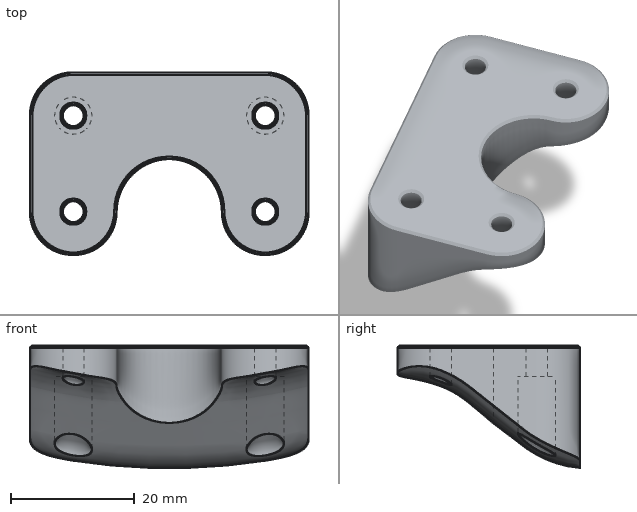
import cadquery as cq
import math

HOLE_SPACING_X = 31.0
HOLE_SPACING_Y = 15.5
CORNER_RADIUS = 7.0
HOLE_DIAMETER = 3.4
HEAD_BORE_DIAMETER = 6.0
HEAD_SEAT_DEPTH = 5.0
EDGE_CHAMFER = 0.4

REAR_DEPTH = 19.8
BLEND_RADIUS = 17.5
SLOPE_ANGLE = math.radians(37.5)
FLANK_REAR_INSET = 9.1
FLANK_RUN = 8.8
SADDLE_RADIUS = 100.0
BLANK_ALLOWANCE = 1.0

HOLE_X = HOLE_SPACING_X / 2
HOLE_Y = HOLE_SPACING_Y / 2
REAR_Y = HOLE_Y + CORNER_RADIUS
FRONT_Y = -REAR_Y
SIDE_X = HOLE_X + CORNER_RADIUS
NOTCH_RADIUS = HOLE_X - CORNER_RADIUS
BLANK_DEPTH = REAR_DEPTH + BLANK_ALLOWANCE


def blank():
    """Upright prism with rounded corners, two rounded legs and a round notch between them."""
    corner_mid = CORNER_RADIUS * math.sqrt(0.5)
    return (
        cq.Workplane("XY")
        .moveTo(-NOTCH_RADIUS, -HOLE_Y)
        .threePointArc((0, NOTCH_RADIUS - HOLE_Y), (NOTCH_RADIUS, -HOLE_Y))
        .threePointArc((HOLE_X, FRONT_Y), (SIDE_X, -HOLE_Y))
        .lineTo(SIDE_X, HOLE_Y)
        .threePointArc((HOLE_X + corner_mid, HOLE_Y + corner_mid), (HOLE_X, REAR_Y))
        .lineTo(-HOLE_X, REAR_Y)
        .threePointArc((-HOLE_X - corner_mid, HOLE_Y + corner_mid), (-SIDE_X, HOLE_Y))
        .lineTo(-SIDE_X, -HOLE_Y)
        .threePointArc((-HOLE_X, FRONT_Y), (-NOTCH_RADIUS, -HOLE_Y))
        .close()
        .extrude(-BLANK_DEPTH)
        .faces(">Z")
        .chamfer(EDGE_CHAMFER)
    )


def arc_point(center, y, side):
    """Point at the given Y on a blend arc; side is -1 below its centre, +1 above it."""
    rise = math.sqrt(BLEND_RADIUS**2 - (y - center[0]) ** 2)
    return (y, center[1] + side * rise)


def saddle_body():
    """Solid of revolution whose outer face is the curved underside."""
    normal_y = BLEND_RADIUS * math.sin(SLOPE_ANGLE)
    normal_z = BLEND_RADIUS * math.cos(SLOPE_ANGLE)

    flank_rear_y = REAR_Y - FLANK_REAR_INSET
    rear_center_y = flank_rear_y + normal_y
    rear_rise = math.sqrt(BLEND_RADIUS**2 - (REAR_Y - rear_center_y) ** 2)
    rear_center = (rear_center_y, -REAR_DEPTH + rear_rise)
    flank_rear = (flank_rear_y, rear_center[1] - normal_z)

    flank_front_y = flank_rear_y - FLANK_RUN
    flank_front = (flank_front_y, flank_rear[1] + FLANK_RUN * math.tan(SLOPE_ANGLE))
    front_center = (flank_front_y - normal_y, flank_front[1] - normal_z)

    front_end = (front_center[0], front_center[1] + BLEND_RADIUS)

    axis_z = SADDLE_RADIUS - REAR_DEPTH
    return (
        cq.Workplane("YZ")
        .moveTo(REAR_Y, axis_z)
        .lineTo(REAR_Y, -REAR_DEPTH)
        .threePointArc(arc_point(rear_center, (REAR_Y + flank_rear_y) / 2, -1), flank_rear)
        .lineTo(*flank_front)
        .threePointArc(arc_point(front_center, (flank_front_y + front_center[0]) / 2, 1), front_end)
        .lineTo(FRONT_Y, front_end[1])
        .lineTo(FRONT_Y, axis_z)
        .close()
        .revolve(360, (0, axis_z), (1, axis_z))
        .rotate((0, 0, axis_z), (0, 1, axis_z), 180)
    )


def drill_screw_holes(body):
    """Four through holes chamfered at the top; the rear pair gets head bores from below."""
    for x in (-HOLE_X, HOLE_X):
        for y in (-HOLE_Y, HOLE_Y):
            mouth = cq.Workplane("XY").center(x, y)
            body = body.cut(mouth.circle(HOLE_DIAMETER / 2).extrude(-BLANK_DEPTH))
            countersink = (
                mouth.circle(HOLE_DIAMETER / 2 + EDGE_CHAMFER)
                .workplane(offset=-EDGE_CHAMFER)
                .circle(HOLE_DIAMETER / 2)
                .loft()
            )
            body = body.cut(countersink)
        head_bore = (
            cq.Workplane("XY", origin=(x, HOLE_Y, -HEAD_SEAT_DEPTH))
            .circle(HEAD_BORE_DIAMETER / 2)
            .extrude(HEAD_SEAT_DEPTH - BLANK_DEPTH)
        )
        body = body.cut(head_bore)
    return body


result = drill_screw_holes(blank().intersect(saddle_body()))